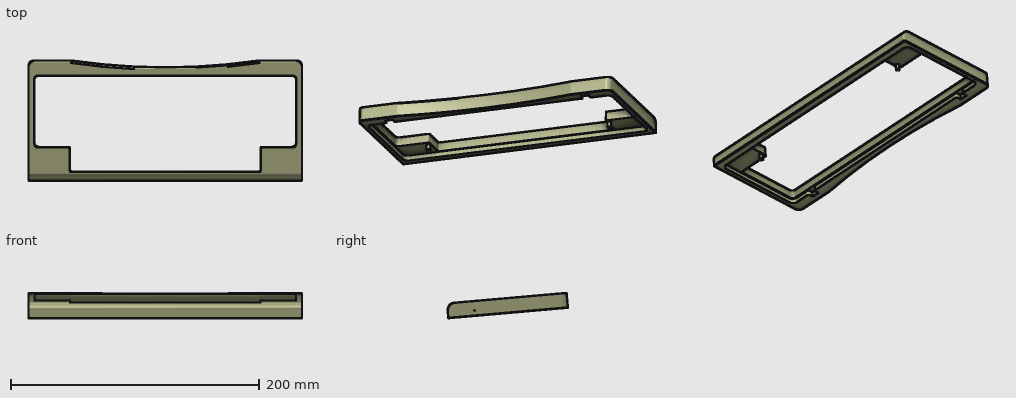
import cadquery as cq

LENGTH = 220.7
DEPTH = 96.9
THICKNESS = 12.1
TILT_DEG = 5.0

REAR_CORNER_RADIUS = 4.9
FRONT_ROUND_RADIUS = 6.2
TOP_EDGE_RADIUS = 1.0
BOTTOM_CHAMFER = 0.5
DIP_HALF_WIDTH = 75.7
DIP_DEPTH = 5.5

OPENING_SIDE_WALL = 4.9
OPENING_FRONT = 7.5
OPENING_REAR = 85.5
OPENING_CORNER_RADIUS = 3.3
BLOCK_HALF_GAP = 76.8
BLOCK_REAR = 27.4
BLOCK_CORNER_RADIUS = 1.3

RELIEF_HEIGHT = 4.5
RELIEF_SETBACK = 0.9

NOTCH_CENTRE_X = 85.5
NOTCH_WIDTH = 6.6
NOTCH_DEPTH = 5.5
NOTCH_MOUTH_RADIUS = 1.5

PIN_DIAMETER = 3.0
PIN_SIDE_OFFSET = 2.0
PIN_REAR_OFFSET = 4.2

SELECT_MARGIN = 0.2

HALF_LENGTH = LENGTH / 2
OPENING_HALF = HALF_LENGTH - OPENING_SIDE_WALL


def make_plate():
    """Plate with a shallow curved dip in its rear edge and a rounded front edge."""
    plate = (
        cq.Workplane("XY")
        .moveTo(-HALF_LENGTH, 0)
        .lineTo(HALF_LENGTH, 0)
        .lineTo(HALF_LENGTH, DEPTH)
        .lineTo(DIP_HALF_WIDTH, DEPTH)
        .threePointArc((0, DEPTH - DIP_DEPTH), (-DIP_HALF_WIDTH, DEPTH))
        .lineTo(-HALF_LENGTH, DEPTH)
        .close()
        .extrude(THICKNESS)
    )
    for side in ("<X", ">X"):
        plate = plate.faces(side).edges("|Z and >Y").fillet(REAR_CORNER_RADIUS)
    plate = plate.faces("<Y").edges(">Z").fillet(FRONT_ROUND_RADIUS)
    plate = plate.faces("<Z").edges().chamfer(BOTTOM_CHAMFER)
    return plate.faces(">Z").edges("not <Y").fillet(TOP_EDGE_RADIUS)


def make_opening():
    """T-shaped through opening, narrowed at the front by the two corner blocks."""
    rear_part = (
        cq.Workplane("XY")
        .box(2 * OPENING_HALF, OPENING_REAR - BLOCK_REAR, THICKNESS, centered=(True, False, False))
        .translate((0, BLOCK_REAR, 0))
        .edges("|Z")
        .fillet(OPENING_CORNER_RADIUS)
    )
    front_part = (
        cq.Workplane("XY")
        .box(2 * BLOCK_HALF_GAP, OPENING_REAR - OPENING_FRONT, THICKNESS, centered=(True, False, False))
        .translate((0, OPENING_FRONT, 0))
        .edges("|Z and <Y")
        .fillet(BLOCK_CORNER_RADIUS)
    )
    block_corners = cq.selectors.BoxSelector(
        (-BLOCK_HALF_GAP - SELECT_MARGIN, BLOCK_REAR - SELECT_MARGIN, 0),
        (BLOCK_HALF_GAP + SELECT_MARGIN, BLOCK_REAR + SELECT_MARGIN, THICKNESS),
    )
    return rear_part.union(front_part).edges("|Z").edges(block_corners).fillet(BLOCK_CORNER_RADIUS)


def make_relief():
    """Wider rectangular recess from below, running under the corner blocks."""
    return (
        cq.Workplane("XY")
        .box(
            2 * (OPENING_HALF + RELIEF_SETBACK),
            OPENING_REAR - OPENING_FRONT + 2 * RELIEF_SETBACK,
            RELIEF_HEIGHT,
            centered=(True, False, False),
        )
        .translate((0, OPENING_FRONT - RELIEF_SETBACK, 0))
        .edges("|Z")
        .fillet(OPENING_CORNER_RADIUS + RELIEF_SETBACK)
    )


def make_notches():
    """Clip pockets cut up from below into the rear bar."""
    return (
        cq.Workplane("XY")
        .pushPoints([(-NOTCH_CENTRE_X, OPENING_REAR), (NOTCH_CENTRE_X, OPENING_REAR)])
        .rect(NOTCH_WIDTH, 2 * NOTCH_DEPTH)
        .extrude(RELIEF_HEIGHT)
    )


def make_pins():
    """Round pins filling the relief height under the inner corner of each block."""
    pin_x = BLOCK_HALF_GAP + PIN_SIDE_OFFSET
    pin_y = BLOCK_REAR - PIN_REAR_OFFSET
    return (
        cq.Workplane("XY")
        .pushPoints([(-pin_x, pin_y), (pin_x, pin_y)])
        .circle(PIN_DIAMETER / 2)
        .extrude(RELIEF_HEIGHT)
    )


def round_notch_mouths(body):
    """Round the upright edges where each notch meets the recessed rear wall."""
    mouth_y = OPENING_REAR + RELIEF_SETBACK
    reach = NOTCH_CENTRE_X + NOTCH_WIDTH
    mouths = cq.selectors.BoxSelector(
        (-reach, mouth_y - SELECT_MARGIN, 0),
        (reach, mouth_y + SELECT_MARGIN, RELIEF_HEIGHT),
    )
    return body.edges("|Z").edges(mouths).fillet(NOTCH_MOUTH_RADIUS)


frame = make_plate().cut(make_opening()).cut(make_relief()).cut(make_notches())
frame = round_notch_mouths(frame).union(make_pins())
result = frame.rotate((0, 0, 0), (1, 0, 0), TILT_DEG)